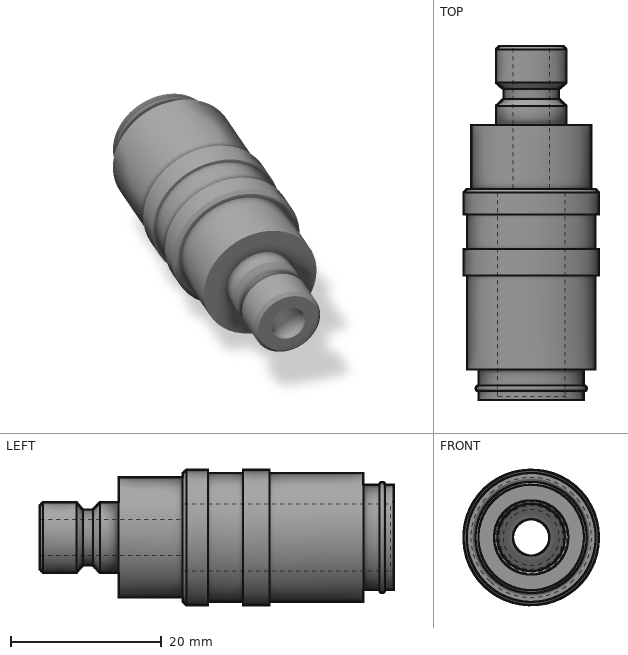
import cadquery as cq

length = 47.0
nose_face = -length / 2

nose_radius = 7.0
sleeve_radius = 8.55
collar_diameter = 18.0
collar_radius = collar_diameter / 2
rear_radius = 8.0
stem_radius = 4.7
groove_radius = 3.7
bore_radius = 4.45
stem_hole_radius = 2.4

ring_center = 1.55
sleeve_start = 4.05
front_collar_start = 16.5
front_collar_end = 20.0
rear_collar_start = 24.65
rear_collar_end = 28.0
rear_end = 36.5
groove_start = 39.0
groove_floor_start = 39.95
groove_floor_end = 41.25
groove_end = 42.1
bore_depth = rear_collar_end

ring_thickness = 0.38
collar_chamfer = 0.45
stem_chamfer = 0.45
bore_chamfer = 0.45


def cylinder(radius, start, end):
    """Solid cylinder between two distances from the nose face."""
    plane = cq.Plane(origin=(0, nose_face + start, 0), xDir=(1, 0, 0), normal=(0, 1, 0))
    return cq.Workplane(plane).circle(radius).extrude(end - start)


def revolve_profile(profile):
    """Revolve a profile drawn in the XY plane around the Y axis."""
    return profile.close().revolve(360, (0, 0, 0), (0, 1, 0))


def make_body():
    """Nose, sleeve, two collars and the smaller rear section."""
    body = cylinder(nose_radius, 0, sleeve_start)
    body = body.union(cylinder(sleeve_radius, sleeve_start, rear_collar_start))
    body = body.union(cylinder(collar_radius, front_collar_start, front_collar_end))
    rear_collar = cylinder(collar_radius, rear_collar_start, rear_collar_end)
    body = body.union(rear_collar.faces(">Y").chamfer(collar_chamfer))
    return body.union(cylinder(rear_radius, rear_collar_end, rear_end))


def make_retaining_ring():
    """Half-round bead around the nose."""
    center = nose_face + ring_center
    profile = (
        cq.Workplane("XY")
        .moveTo(nose_radius - ring_thickness, center - ring_thickness)
        .lineTo(nose_radius, center - ring_thickness)
        .radiusArc((nose_radius + ring_thickness, center), -ring_thickness)
        .radiusArc((nose_radius, center + ring_thickness), -ring_thickness)
        .lineTo(nose_radius - ring_thickness, center + ring_thickness)
    )
    return revolve_profile(profile)


def make_stem():
    """Stem with a sloped-sided groove and a chamfered end."""
    stem = cylinder(stem_radius, rear_end, length).faces(">Y").chamfer(stem_chamfer)
    clearance_radius = stem_radius + (stem_radius - groove_radius)
    groove = (
        cq.Workplane("XY")
        .moveTo(stem_radius, nose_face + groove_start)
        .lineTo(groove_radius, nose_face + groove_floor_start)
        .lineTo(groove_radius, nose_face + groove_floor_end)
        .lineTo(stem_radius, nose_face + groove_end)
        .lineTo(clearance_radius, nose_face + groove_end)
        .lineTo(clearance_radius, nose_face + groove_start)
    )
    return stem.cut(revolve_profile(groove))


def make_bore():
    """Chamfered blind bore followed by the through hole in the stem."""
    mouth_radius = bore_radius + bore_chamfer
    profile = (
        cq.Workplane("XY")
        .moveTo(0, nose_face)
        .lineTo(mouth_radius, nose_face)
        .lineTo(bore_radius, nose_face + bore_chamfer)
        .lineTo(bore_radius, nose_face + bore_depth)
        .lineTo(stem_hole_radius, nose_face + bore_depth)
        .lineTo(stem_hole_radius, nose_face + length)
        .lineTo(0, nose_face + length)
    )
    return revolve_profile(profile)


result = make_body().union(make_retaining_ring()).union(make_stem()).cut(make_bore())